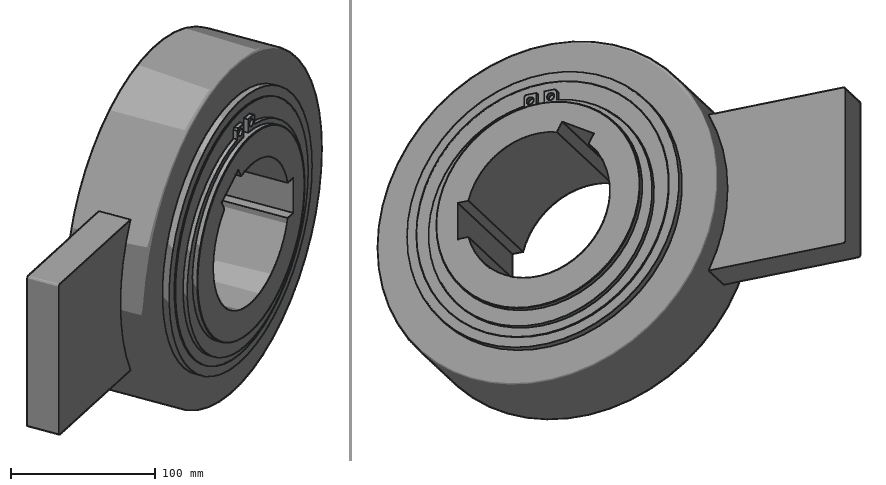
import cadquery as cq
ring_radius = 130.0
ring_width = 63.0
ring_edge_fillet = 2.5

cover_radius = 104.0
cover_half_width = 36.7
seal_radius = 96.5
seal_half_width = 37.7

hub_radius = 78.0
hub_half_width = 45.0
hub_edge_chamfer = 0.4
bore_radius = 55.0

keyway_width = 28.0
keyway_floor_distance = 61.4
keyway_angles = (0.0, 120.0)

clip_radius = 85.5
clip_drop = 4.4
clip_half_width = 41.0
lug_top = 88.5
lug_inner_y = 3.0
lug_outer_y = 12.5
lug_corner_cut = 1.5
lug_bottom = hub_radius - 2.0
lug_hole_y = 7.8
lug_hole_z = 83.5
lug_hole_diameter = 5.5

arm_thickness = 25.0
arm_height = 120.0
arm_tip_distance = 220.0
arm_tip_fillet = 2.0


def disc(radius, half_width, center_z=0.0):
    """Disc about the X axis, symmetric about the YZ plane."""
    start = cq.Workplane("YZ", origin=(-half_width, 0, center_z))
    return start.circle(radius).extrude(2 * half_width)


def make_arm():
    arm = cq.Workplane("XY").box(
        arm_thickness, arm_tip_distance, arm_height, centered=(True, False, True)
    )
    arm = arm.translate((0, -arm_tip_distance, 0))
    return arm.faces("<Y").edges("|X").fillet(arm_tip_fillet)


def make_lug(side):
    """Retaining ring ear with a plier hole, on the +Y (side=1) or -Y (side=-1) flank."""
    outline = [
        (side * lug_inner_y, lug_bottom),
        (side * lug_inner_y, lug_top),
        (side * (lug_outer_y - lug_corner_cut), lug_top),
        (side * lug_outer_y, lug_top - lug_corner_cut),
        (side * lug_outer_y, lug_bottom),
    ]
    start = cq.Workplane("YZ", origin=(-clip_half_width, 0, 0))
    return start.polyline(outline).close().extrude(2 * clip_half_width)


def make_clips():
    """Both retaining rings as one body running through the ring, open between the lugs."""
    gap = cq.Workplane("XY").box(
        2 * clip_half_width, 2 * lug_inner_y, lug_top, centered=(True, True, False)
    )
    clips = disc(clip_radius, clip_half_width, -clip_drop).cut(gap)
    for side in (1, -1):
        hole = disc(lug_hole_diameter / 2, clip_half_width, lug_hole_z)
        hole = hole.translate((0, side * lug_hole_y, 0))
        clips = clips.union(make_lug(side)).cut(hole)
    return clips


def make_keyway(angle):
    keyway = cq.Workplane("XY").box(
        2 * hub_half_width, keyway_floor_distance, keyway_width, centered=(True, False, True)
    )
    return keyway.rotate((0, 0, 0), (1, 0, 0), angle)


ring = disc(ring_radius, ring_width / 2).edges("%CIRCLE").fillet(ring_edge_fillet)
hub = disc(hub_radius, hub_half_width).edges("%CIRCLE").chamfer(hub_edge_chamfer)

result = ring.union(make_arm())
result = result.union(make_clips())
result = result.union(disc(cover_radius, cover_half_width))
result = result.union(disc(seal_radius, seal_half_width))
result = result.union(hub)
result = result.cut(disc(bore_radius, hub_half_width))
for keyway_angle in keyway_angles:
    result = result.cut(make_keyway(keyway_angle))